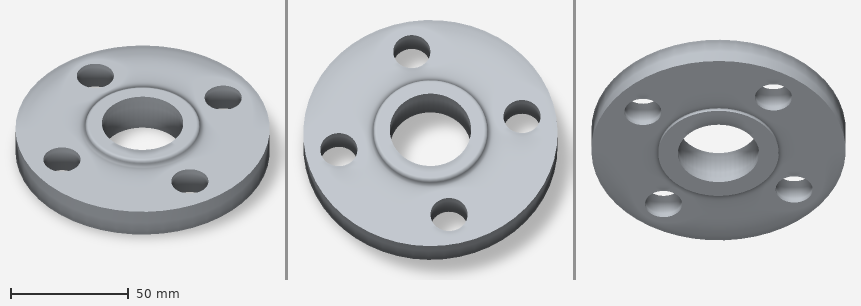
import cadquery as cq
import math

plate_diameter = 107.9
plate_thickness = 12.7
bore_diameter = 34.5

face_diameter = 51.2
face_height = 1.6

hub_height = 3.0
hub_foot_diameter = 51.9
foot_fillet = 1.6
edge_fillet = 1.6
hub_taper = math.radians(10)

bolt_hole_count = 4
bolt_hole_diameter = 15.8
bolt_circle_diameter = 79.3

plate_bottom = face_height
plate_top = plate_bottom + plate_thickness
hub_top = plate_top + hub_height

hub_foot_radius = hub_foot_diameter / 2
foot_rise = foot_fillet * (1 - math.sin(hub_taper))
edge_drop = edge_fillet * (1 - math.sin(hub_taper))
cone_height = hub_height - foot_rise - edge_drop
cone_base_radius = hub_foot_radius - foot_fillet * math.cos(hub_taper)
cone_top_radius = cone_base_radius - cone_height * math.tan(hub_taper)
hub_top_radius = cone_top_radius - edge_fillet * math.cos(hub_taper)


def make_body():
    """Revolve the half section: sealing face, plate and hub."""
    section = (
        cq.Workplane("XZ")
        .moveTo(bore_diameter / 2, 0)
        .lineTo(face_diameter / 2, 0)
        .lineTo(face_diameter / 2, plate_bottom)
        .lineTo(plate_diameter / 2, plate_bottom)
        .lineTo(plate_diameter / 2, plate_top)
        .lineTo(hub_foot_radius, plate_top)
        .radiusArc((cone_base_radius, plate_top + foot_rise), foot_fillet)
        .lineTo(cone_top_radius, hub_top - edge_drop)
        .radiusArc((hub_top_radius, hub_top), -edge_fillet)
        .lineTo(bore_diameter / 2, hub_top)
        .close()
    )
    return section.revolve(360, (0, 0, 0), (0, 1, 0))


def make_bolt_holes():
    """Cylinders that run through the plate, evenly spaced on the bolt circle."""
    return (
        cq.Workplane("XY")
        .workplane(offset=plate_bottom)
        .polarArray(bolt_circle_diameter / 2, 0, 360, bolt_hole_count)
        .circle(bolt_hole_diameter / 2)
        .extrude(plate_thickness)
    )


result = make_body().cut(make_bolt_holes())